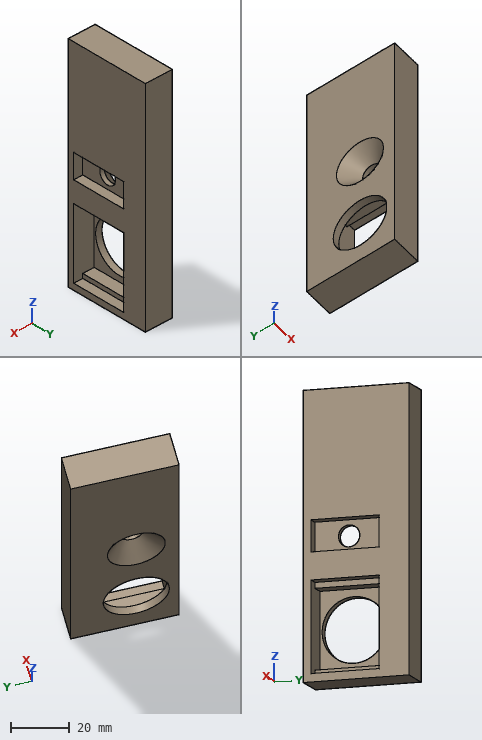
import cadquery as cq

thickness = 12.7
width = 38.1
height = 101.6

opening_y = 15.0
window_z = 19.2
window_diameter = 23.2

screw_z = height / 2
screw_diameter = 7.6
countersink_diameter = 20.3
countersink_angle = 90.0

pocket_width = 24.6
shallow_bottom_x = 8.4
skin = 3.0

screw_recess_floor_z = 45.2
window_recess_floor_z = 2.9
floor_step_height = 2.0
window_pocket_floor_z = window_recess_floor_z + floor_step_height


def make_plate():
    return cq.Workplane("XY").box(thickness, width, height, centered=False)


def make_back_pocket(bottom_x, floor_z, centre_z):
    side_y = opening_y - pocket_width / 2
    pocket_height = 2 * (centre_z - floor_z)
    return (
        cq.Workplane("XY")
        .box(thickness - bottom_x, pocket_width, pocket_height, centered=False)
        .translate((bottom_x, side_y, floor_z))
    )


def make_window():
    return (
        cq.Workplane("YZ")
        .center(opening_y, window_z)
        .circle(window_diameter / 2)
        .extrude(thickness)
    )


def add_countersunk_hole(body):
    return (
        body.faces("<X")
        .workplane(origin=(0, opening_y, screw_z))
        .cskHole(screw_diameter, countersink_diameter, countersink_angle)
    )


result = add_countersunk_hole(make_plate())
result = result.cut(make_back_pocket(shallow_bottom_x, screw_recess_floor_z, screw_z))

result = result.cut(make_back_pocket(shallow_bottom_x, window_recess_floor_z, window_z))
result = result.cut(make_back_pocket(skin, window_pocket_floor_z, window_z))
result = result.cut(make_window())